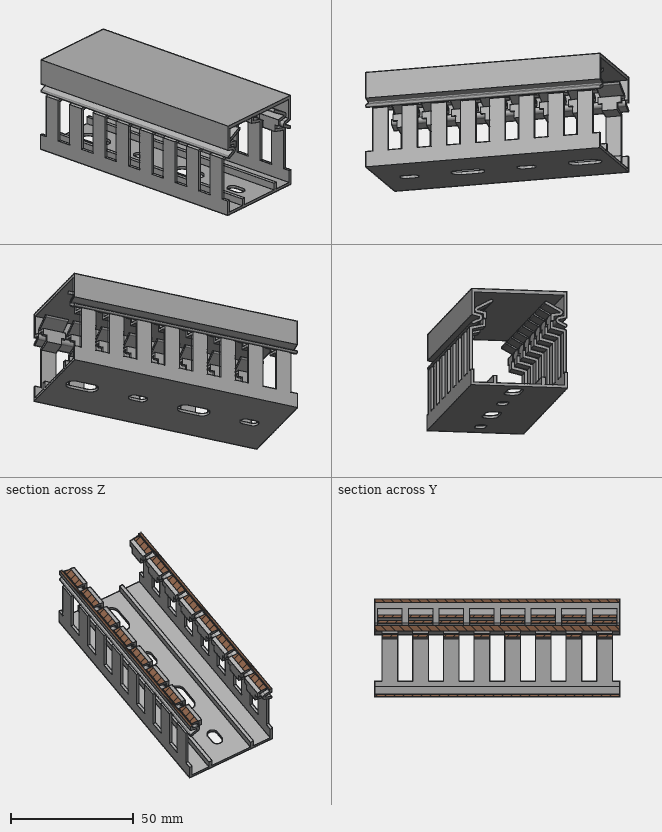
import cadquery as cq
import math

LENGTH = 100.0
WIDTH = 40.0
HEIGHT = 40.0
WALL = 1.2

FINGER_COUNT = 8
PITCH = LENGTH / FINGER_COUNT
FINGER_WIDTH = 6.5
GAP_WIDTH = PITCH - FINGER_WIDTH
GAP_BOTTOM = 6.5
GAP_TOP = 28.0
THROAT_WIDTH = 2.5
SHOULDER_Z = 24.2
NECK_Y = 14.0
NECK_BOTTOM = 25.5
NECK_TOP = 30.3
CATCH_BEND = (19.1, 31.2)
CATCH_TIP = (11.3, 35.4)
CATCH_RADIUS = 0.1

RIB_WIDTH = 1.5
RIB_HEIGHT = 3.0
RIB_Y = 10.0
SLOTS_PER_ROW = 2
SLOT_PITCH = LENGTH / SLOTS_PER_ROW
LONG_SLOT_LENGTH = 14.0
LONG_SLOT_WIDTH = 6.5
FIRST_LONG_SLOT_X = SLOT_PITCH / 4
SHORT_SLOT_LENGTH = 8.0
SHORT_SLOT_WIDTH = 4.5
FIRST_SHORT_SLOT_X = FIRST_LONG_SLOT_X + SLOT_PITCH / 2

COVER_WIDTH = 39.4
COVER_TOP = 1.5
HOOK_CORNER_Z = 29.6
HOOK_BEND = (14.1, 28.3)
HOOK_TIP = (19.1, 25.9)
HOOK_RADIUS = 0.3


def offset_point(path, index, distance):
    """Point beside path[index], at the given distance to the left of both segments that meet there."""
    normals = []
    for start, end in zip(path[:-1], path[1:]):
        run = math.dist(start, end)
        normals.append(((start[1] - end[1]) / run, (end[0] - start[0]) / run))
    before = normals[max(index - 1, 0)]
    after = normals[min(index, len(normals) - 1)]
    stretch = distance / (1 + before[0] * after[0] + before[1] * after[1])
    y, z = path[index]
    return (y + stretch * (before[0] + after[0]), z + stretch * (before[1] + after[1]))


def bent_strip(path):
    """Strip of wall thickness along a (y, z) centreline, with mitred corners, over the full length."""
    left = [offset_point(path, i, WALL / 2) for i in range(len(path))]
    right = [offset_point(path, i, -WALL / 2) for i in range(len(path))]
    return cq.Workplane("YZ").polyline(left + right[::-1]).close().extrude(LENGTH)


def round_edge(strip, point, radius):
    """Round the lengthwise edge that passes through a (y, z) point."""
    nearest = cq.NearestToPointSelector((LENGTH / 2, point[0], point[1]))
    return strip.edges("|X").edges(nearest).fillet(radius)


def snap_side(path, inner_radius):
    """One +Y side: a bent strip with a round last bend, turning left, and a round free end."""
    bend = len(path) - 2
    outer_edge = offset_point(path, bend, -WALL / 2)
    inner_edge = offset_point(path, bend, WALL / 2)
    strip = bent_strip(path)
    strip = round_edge(strip, outer_edge, inner_radius + WALL)
    strip = round_edge(strip, inner_edge, inner_radius)
    round_end = cq.Workplane("YZ").center(*path[-1]).circle(WALL / 2).extrude(LENGTH)
    return strip.union(round_end)


def plate(width, thickness, bottom):
    """Flat plate over the full length, centred across the width."""
    blank = cq.Workplane("XY").workplane(offset=bottom)
    return blank.box(LENGTH, width, thickness, centered=(False, True, False))


def mirrored_pair(side):
    """A +Y side together with its mirror image on the -Y side."""
    return side.union(side.mirror("XZ"))


def duct_shell():
    wall_y = (WIDTH - WALL) / 2
    side = snap_side(
        [
            (wall_y, 0),
            (wall_y, SHOULDER_Z),
            (NECK_Y, NECK_BOTTOM),
            (NECK_Y, NECK_TOP),
            CATCH_BEND,
            CATCH_TIP,
        ],
        CATCH_RADIUS,
    )
    return plate(WIDTH, WALL, 0).union(mirrored_pair(side))


def gap_row(width, bottom, top):
    """Cutters between the fingers, through both side walls, with half a cut at each end of the duct."""
    centres = [(i * PITCH, 0) for i in range(FINGER_COUNT + 1)]
    return (
        cq.Workplane("XY")
        .workplane(offset=bottom)
        .pushPoints(centres)
        .rect(width, WIDTH)
        .extrude(top - bottom)
    )


def floor_ribs():
    return (
        cq.Workplane("XY")
        .pushPoints([(LENGTH / 2, -RIB_Y), (LENGTH / 2, RIB_Y)])
        .rect(LENGTH, RIB_WIDTH)
        .extrude(WALL + RIB_HEIGHT)
    )


def slot_row(first_x, length, width):
    """Cutters for a row of slots along the middle of the floor."""
    return (
        cq.Workplane("XY")
        .pushPoints([(first_x + i * SLOT_PITCH, 0) for i in range(SLOTS_PER_ROW)])
        .slot2D(length, width)
        .extrude(WALL)
    )


def mounting_slots():
    long_slots = slot_row(FIRST_LONG_SLOT_X, LONG_SLOT_LENGTH, LONG_SLOT_WIDTH)
    short_slots = slot_row(FIRST_SHORT_SLOT_X, SHORT_SLOT_LENGTH, SHORT_SLOT_WIDTH)
    return long_slots.union(short_slots)


def make_duct():
    gaps = gap_row(GAP_WIDTH, GAP_BOTTOM, GAP_TOP)
    throats = gap_row(THROAT_WIDTH, GAP_TOP, HEIGHT)
    return duct_shell().cut(gaps).cut(throats).union(floor_ribs()).cut(mounting_slots())


def make_cover():
    wall_y = (COVER_WIDTH - WALL) / 2
    side = snap_side(
        [(wall_y, HEIGHT), (wall_y, HOOK_CORNER_Z), HOOK_BEND, HOOK_TIP],
        HOOK_RADIUS,
    )
    return plate(COVER_WIDTH, COVER_TOP, HEIGHT - COVER_TOP).union(mirrored_pair(side))


duct = make_duct()
cover = make_cover()
result = cq.Compound.makeCompound([duct.val(), cover.val()])